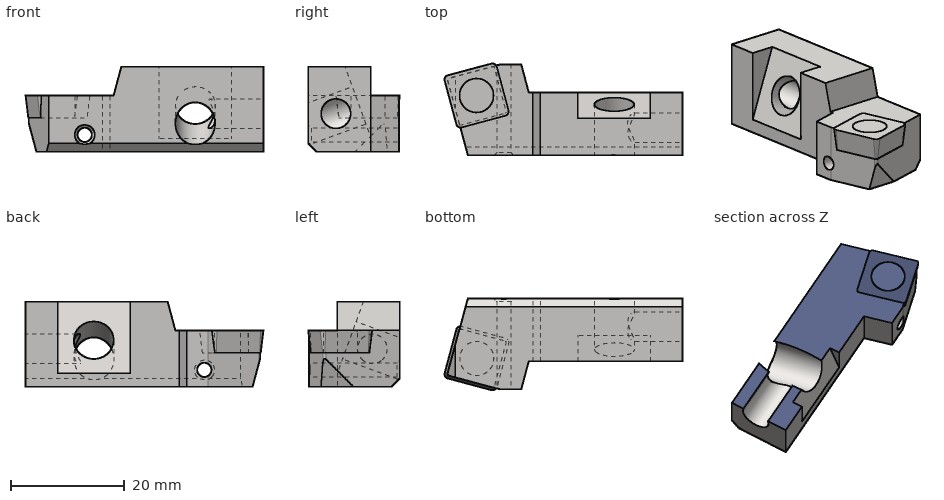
import cadquery as cq
import math

length = 41.9
overall_width = 16.17
holder_height = 15.0
head_top = 9.97
head_width = 16.0
shank_width = 11.05
edge_chamfer = 1.5

lean = 15.0
lean_slope = math.tan(math.radians(lean))
front_corner_x = 4.1
head_back_x = 13.55
step_bottom_x = 15.5
relief_bottom_x = 1.93
nose_radius = 0.4

insert_side = 9.5
insert_radius = 0.8
insert_thickness = 4.0
insert_clearance = 7.0
insert_overhang = 0.55
post_diameter = 6.0

cross_x = 10.45
cross_z = 3.0
cross_diameter = 2.47
countersink_diameter = 3.5

clamp_x = 29.87
clamp_z = 5.0
clamp_diameter = 7.0
clamp_angle = 20.0
seat_start_x = 23.45
seat_end_x = 36.25
seat_top_y = 6.5

end_hole_y = 4.9
end_hole_z = 6.75
end_hole_diameter = 5.2

lean_sin = math.sin(math.radians(lean))
lean_cos = math.cos(math.radians(lean))
insert_reach = (insert_side / 2 - insert_radius) * (lean_sin + lean_cos) + insert_radius
insert_x = insert_reach
insert_y = overall_width - insert_reach


def insert_blank():
    """Tapered square with rounded corners, largest at the head top."""
    square = cq.Sketch().rect(insert_side, insert_side).vertices().fillet(insert_radius)
    return (
        cq.Workplane("XY")
        .placeSketch(square)
        .extrude(-insert_thickness, taper=insert_clearance)
        .rotate((0, 0, 0), (0, 0, 1), lean)
        .translate((insert_x, insert_y, head_top))
    )


def insert_post():
    """Round post of the holder that fills the hole in the insert."""
    return (
        cq.Workplane("XY", origin=(insert_x, insert_y, head_top))
        .circle(post_diameter / 2)
        .extrude(-insert_thickness)
    )


def head():
    """Low block whose left and back sides run parallel to the insert."""
    side_offset = insert_side / 2 - insert_overhang
    nose_x = insert_x - side_offset * (lean_cos + lean_sin)
    nose_y = insert_y + side_offset * (lean_cos - lean_sin)
    nose = (nose_x, nose_y)
    back_start_x = nose_x + (head_width - nose_y) / lean_slope
    neck_x = head_back_x + (head_width - shank_width) * lean_slope
    block = (
        cq.Workplane("XY")
        .polyline([
            (front_corner_x, 0),
            (length, 0),
            (length, shank_width),
            (neck_x, shank_width),
            (head_back_x, head_width),
            (back_start_x, head_width),
            nose,
        ])
        .close()
        .extrude(head_top)
    )
    nose_edge = cq.selectors.NearestToPointSelector((*nose, head_top / 2))
    return block.edges(nose_edge).fillet(nose_radius)


def shank_top():
    step_top_x = step_bottom_x + (holder_height - head_top) * lean_slope
    return (
        cq.Workplane("XZ")
        .polyline([
            (step_bottom_x, head_top),
            (length, head_top),
            (length, holder_height),
            (step_top_x, holder_height),
        ])
        .close()
        .extrude(-shank_width)
    )


def nose_relief():
    """Wedge below the sloping plane that undercuts the nose."""
    return (
        cq.Workplane("XZ")
        .polyline([
            (relief_bottom_x, 0),
            (relief_bottom_x - head_top * lean_slope, head_top),
            (-length, head_top),
            (-length, 0),
        ])
        .close()
        .extrude(-overall_width)
    )


def lower_edge_chamfer():
    return (
        cq.Workplane("YZ")
        .polyline([(0, 0), (edge_chamfer, 0), (0, edge_chamfer)])
        .close()
        .extrude(length)
    )


def cross_hole():
    """Through hole in Y with a 45 degree countersink at the front."""
    depth = (countersink_diameter - cross_diameter) / 2
    drill = cq.Workplane("XZ", origin=(cross_x, 0, cross_z)).circle(cross_diameter / 2).extrude(-overall_width)
    cone = cq.Solid.makeCone(
        countersink_diameter / 2,
        cross_diameter / 2,
        depth,
        cq.Vector(cross_x, 0, cross_z),
        cq.Vector(0, 1, 0),
    )
    return drill.union(cq.Workplane(cone))


def clamp_seat():
    """Wedge-shaped notch in the back of the shank."""
    seat_bottom_z = holder_height - (shank_width - seat_top_y) / math.tan(math.radians(clamp_angle))
    return (
        cq.Workplane("YZ", origin=(seat_start_x, 0, 0))
        .polyline([
            (seat_top_y, holder_height),
            (shank_width, holder_height),
            (shank_width, seat_bottom_z),
        ])
        .close()
        .extrude(seat_end_x - seat_start_x)
    )


def clamp_hole():
    """Inclined bore that overshoots the shank at both ends."""
    angle = math.radians(clamp_angle)
    axis = cq.Vector(0, math.cos(angle), math.sin(angle))
    start = cq.Vector(clamp_x, 0, clamp_z) - axis * shank_width
    return cq.Workplane(cq.Solid.makeCylinder(clamp_diameter / 2, 3 * shank_width, start, axis))


def end_hole():
    return (
        cq.Workplane("YZ", origin=(clamp_x, end_hole_y, end_hole_z))
        .circle(end_hole_diameter / 2)
        .extrude(length - clamp_x)
    )


def make_insert():
    return insert_blank().cut(insert_post())


def make_holder():
    body = head().union(shank_top())
    body = body.cut(nose_relief()).cut(lower_edge_chamfer())
    body = body.cut(insert_blank()).union(insert_post())
    body = body.cut(cross_hole())
    return body.cut(clamp_seat()).cut(clamp_hole()).cut(end_hole())


holder = make_holder()
insert = make_insert()
result = cq.Compound.makeCompound([*holder.solids().vals(), *insert.solids().vals()])